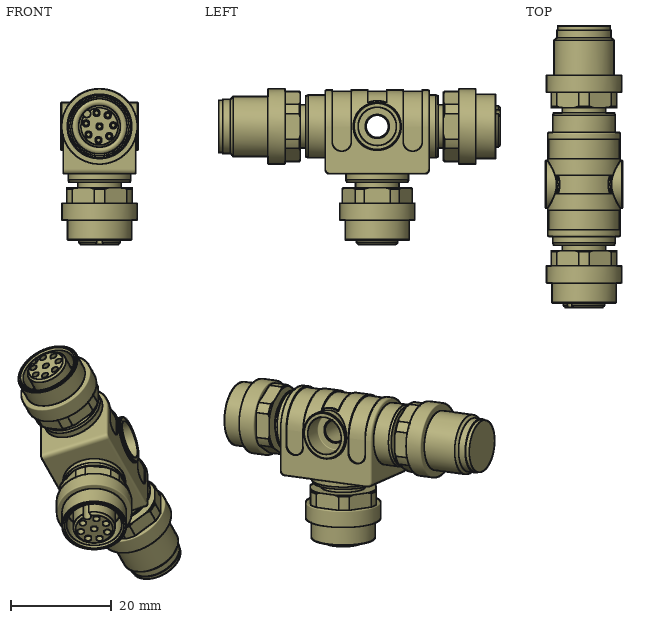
import cadquery as cq
import math


BODY_HALF_LENGTH = 10.35
BODY_WIDTH = 14.5
BODY_RADIUS = BODY_WIDTH / 2
BODY_DROP = 9.45
BODY_CORNER_RADIUS = 0.95
BODY_EDGE_RADIUS = 0.4

GROOVE_DEPTH = 0.25
SIDE_GROOVE_WIDTH = 3.8
SIDE_GROOVE_OFFSET = 7.05
SIDE_GROOVE_REACH = 4.9
CENTRE_GROOVE_WIDTH = 3.7
CENTRE_GROOVE_END_DIAMETER = 10.2
CUTTER_CLEARANCE = 0.55

BOSS_DIAMETER = 9.5
BOSS_LENGTH = 15.4
BOSS_HALF_LENGTH = BOSS_LENGTH / 2
BOSS_CHAMFER = 0.15
HOLE_DIAMETER = 4.4
COUNTERBORE_DIAMETER = 7.6
COUNTERBORE_DEPTH = 4.15
COUNTERBORE_FLOOR_RADIUS = 0.15
HOLE_CHAMFER = 0.15

COLLAR_DIAMETER = 12.5
COLLAR_BEVEL_WIDTH = 0.195
COLLAR_BEVEL_LENGTH = 0.5
NECK_DIAMETER = 8.7
NECK_LENGTH = 1.05
HEX_ACROSS_FLATS = 13.05
HEX_ROUND_DIAMETER = 14
HEX_CHAMFER = 0.25
HEX_LENGTH = 3.0
RING_DIAMETER = 15.0
RING_LENGTH = 3.4
RING_EDGE_RADIUS = 0.2
RING_END = NECK_LENGTH + HEX_LENGTH + RING_LENGTH

SLEEVE_DIAMETER = 12.8
SLEEVE_LENGTH = 4.0
SLEEVE_CHAMFER = 0.15
SLEEVE_BORE = 11.0
SLEEVE_MOUTH = 11.75
SLEEVE_BORE_DEPTH = 5.3
SEAL_MEAN_DIAMETER = 9.65
SEAL_RADIUS = 0.7
INSERT_DIAMETER = 8.3
INSERT_STICKOUT = 0.9
INSERT_CHAMFER = 0.45
KEYWAY_DIAMETER = 1.55
KEYWAY_CENTRE_RADIUS = 3.6
CONTACT_DIAMETER = 0.9
CONTACT_MOUTH = 1.35
CONTACT_MOUTH_DEPTH = 1.4
CONTACT_DEPTH = 2.25
CONTACT_CIRCLE_RADIUS = 2.75
CONTACT_COUNT = 7
CONTACT_SPACING = 49.2

SPIGOT_DIAMETER = 12.0
SPIGOT_LENGTH = 6.9
SPIGOT_TAPER_LENGTH = 0.55
SPIGOT_NOSE_DIAMETER = 10.8
SPIGOT_NOSE_LENGTH = 1.5
SPIGOT_TIP_DIAMETER = 10.5
SPIGOT_TIP_LENGTH = 0.85

MALE_REACH = 31.5
FEMALE_REACH = 24.5
BRANCH_REACH = 23.5
FEMALE_LENGTH = RING_END + SLEEVE_LENGTH + INSERT_STICKOUT
MALE_LENGTH = RING_END + SPIGOT_LENGTH + SPIGOT_TAPER_LENGTH + SPIGOT_NOSE_LENGTH + SPIGOT_TIP_LENGTH

MAIN_KEYWAY_ANGLE = 135
BRANCH_KEYWAY_ANGLE = 90


def disc(diameter, start, length):
    return cq.Workplane("XY").workplane(offset=start).circle(diameter / 2).extrude(length)


def frustum(start_diameter, end_diameter, start, length):
    cone = cq.Solid.makeCone(start_diameter / 2, end_diameter / 2, length, cq.Vector(0, 0, start))
    return cq.Workplane("XY").add(cone)


def body_prism(radius):
    """Arch-topped bar along Y whose half width equals the radius of its arch."""
    return (
        cq.Workplane("XZ", origin=(0, BODY_HALF_LENGTH, 0))
        .moveTo(-radius, -BODY_DROP)
        .lineTo(-radius, 0)
        .threePointArc((0, radius), (radius, 0))
        .lineTo(radius, -BODY_DROP)
        .close()
        .extrude(2 * BODY_HALF_LENGTH)
    )


def groove_cutter(outline):
    """Skin of the body, GROOVE_DEPTH thick, inside an outline that spans the body along X."""
    skin = body_prism(BODY_RADIUS + CUTTER_CLEARANCE).cut(
        body_prism(BODY_RADIUS - GROOVE_DEPTH)
    )
    return skin.intersect(outline)


def side_outline(y_centre, width, bottom):
    """Upright strip across the whole body, from a bottom height to above the arch."""
    across = 2 * (BODY_RADIUS + CUTTER_CLEARANCE)
    height = BODY_RADIUS + CUTTER_CLEARANCE - bottom
    return cq.Workplane("XY", origin=(0, y_centre, bottom)).rect(across, width).extrude(height)


def cross_cylinder(diameter, half_length, y=0, z=0):
    return (
        cq.Workplane("YZ", origin=(-half_length, y, z)).circle(diameter / 2).extrude(2 * half_length)
    )


def make_body():
    body = body_prism(BODY_RADIUS)
    body = body.edges("|X and <Z").fillet(BODY_CORNER_RADIUS)
    body = body.faces("<Y").edges("%CIRCLE").fillet(BODY_EDGE_RADIUS)

    end_radius = SIDE_GROOVE_WIDTH / 2
    end_height = end_radius - SIDE_GROOVE_REACH
    for y in (-SIDE_GROOVE_OFFSET, SIDE_GROOVE_OFFSET):
        strip = side_outline(y, SIDE_GROOVE_WIDTH, end_height)
        rounded_end = cross_cylinder(SIDE_GROOVE_WIDTH, 2 * BODY_RADIUS, y, end_height)
        body = body.cut(groove_cutter(strip.union(rounded_end)))

    centre_strip = side_outline(0, CENTRE_GROOVE_WIDTH, 0)
    centre_strip = centre_strip.cut(cross_cylinder(CENTRE_GROOVE_END_DIAMETER, 2 * BODY_RADIUS))
    return body.cut(groove_cutter(centre_strip))


def make_boss():
    return cross_cylinder(BOSS_DIAMETER, BOSS_HALF_LENGTH).faces("<X or >X").chamfer(BOSS_CHAMFER)


def boss_pocket():
    """Counterbore on the +X side, with a rounded floor corner and a bevel into the hole."""
    floor = BOSS_HALF_LENGTH - COUNTERBORE_DEPTH
    counterbore = cq.Workplane("YZ", origin=(floor, 0, 0)).circle(COUNTERBORE_DIAMETER / 2)
    counterbore = counterbore.extrude(COUNTERBORE_DEPTH)
    counterbore = counterbore.faces("<X").edges().fillet(COUNTERBORE_FLOOR_RADIUS)
    rim = cq.Solid.makeCone(
        HOLE_DIAMETER / 2 + HOLE_CHAMFER, HOLE_DIAMETER / 2, HOLE_CHAMFER,
        cq.Vector(floor, 0, 0), cq.Vector(-1, 0, 0),
    )
    return counterbore.union(cq.Workplane("XY").add(rim))


def drill_boss(part):
    part = part.cut(cross_cylinder(HOLE_DIAMETER, BOSS_HALF_LENGTH))
    pocket = boss_pocket()
    return part.cut(pocket).cut(pocket.mirror("YZ"))


def coupling(collar_length):
    """Collar, neck, hexagon and ring along +Z, with the collar end at the origin."""
    collar = disc(COLLAR_DIAMETER, -collar_length, collar_length)
    collar = collar.faces(">Z").chamfer(COLLAR_BEVEL_LENGTH, COLLAR_BEVEL_WIDTH)
    neck = disc(NECK_DIAMETER, 0, NECK_LENGTH)
    hex_limit = disc(HEX_ROUND_DIAMETER, NECK_LENGTH, HEX_LENGTH).faces("<Z").chamfer(HEX_CHAMFER)
    across_corners = HEX_ACROSS_FLATS / math.cos(math.pi / 6)
    hexagon = (
        cq.Workplane("XY", origin=(0, 0, NECK_LENGTH))
        .transformed(rotate=(0, 0, 30))
        .polygon(6, across_corners)
        .extrude(HEX_LENGTH)
        .intersect(hex_limit)
    )
    ring = disc(RING_DIAMETER, RING_END - RING_LENGTH, RING_LENGTH).edges().fillet(RING_EDGE_RADIUS)
    return collar.union(neck).union(hexagon).union(ring)


def contact_positions(keyway_angle):
    first = keyway_angle + (360 - (CONTACT_COUNT - 1) * CONTACT_SPACING) / 2
    positions = [(0, 0)]
    for i in range(CONTACT_COUNT):
        angle = math.radians(first + i * CONTACT_SPACING)
        positions.append((CONTACT_CIRCLE_RADIUS * math.cos(angle), CONTACT_CIRCLE_RADIUS * math.sin(angle)))
    return positions


def female_connector(collar_length, keyway_angle):
    sleeve_end = RING_END + SLEEVE_LENGTH
    floor = sleeve_end - SLEEVE_BORE_DEPTH

    sleeve = disc(SLEEVE_DIAMETER, RING_END, SLEEVE_LENGTH).faces(">Z").chamfer(SLEEVE_CHAMFER)
    bevel = (SLEEVE_MOUTH - SLEEVE_BORE) / 2
    bore = disc(SLEEVE_BORE, floor, SLEEVE_BORE_DEPTH)
    bore = bore.union(frustum(SLEEVE_BORE, SLEEVE_MOUTH, sleeve_end - bevel, bevel))
    part = coupling(collar_length).union(sleeve).cut(bore)

    seal = cq.Workplane("XY").add(
        cq.Solid.makeTorus(SEAL_MEAN_DIAMETER / 2, SEAL_RADIUS, cq.Vector(0, 0, floor))
    )

    insert_length = SLEEVE_BORE_DEPTH + INSERT_STICKOUT
    insert = disc(INSERT_DIAMETER, floor, insert_length).faces(">Z").chamfer(INSERT_CHAMFER)
    key = math.radians(keyway_angle)
    insert = insert.cut(
        disc(KEYWAY_DIAMETER, floor, insert_length).translate(
            (KEYWAY_CENTRE_RADIUS * math.cos(key), KEYWAY_CENTRE_RADIUS * math.sin(key), 0)
        )
    )
    insert = (
        insert.faces(">Z")
        .workplane(origin=(0, 0, FEMALE_LENGTH))
        .pushPoints(contact_positions(keyway_angle))
        .cboreHole(CONTACT_DIAMETER, CONTACT_MOUTH, CONTACT_MOUTH_DEPTH, CONTACT_DEPTH)
    )
    return part.union(seal).union(insert)


def male_connector(collar_length):
    part = coupling(collar_length).union(disc(SPIGOT_DIAMETER, RING_END, SPIGOT_LENGTH))
    start = RING_END + SPIGOT_LENGTH
    part = part.union(frustum(SPIGOT_DIAMETER, SPIGOT_NOSE_DIAMETER, start, SPIGOT_TAPER_LENGTH))
    start += SPIGOT_TAPER_LENGTH
    part = part.union(disc(SPIGOT_NOSE_DIAMETER, start, SPIGOT_NOSE_LENGTH))
    start += SPIGOT_NOSE_LENGTH
    return part.union(disc(SPIGOT_TIP_DIAMETER, start, SPIGOT_TIP_LENGTH))


def place_arm(arm, collar_end, turn_about_x):
    """Move a +Z arm out to its collar end, then swing it about the X axis."""
    return arm.translate((0, 0, collar_end)).rotate((0, 0, 0), (1, 0, 0), turn_about_x)


male_collar_end = MALE_REACH - MALE_LENGTH
female_collar_end = FEMALE_REACH - FEMALE_LENGTH
branch_collar_end = BRANCH_REACH - FEMALE_LENGTH

result = make_body().union(make_boss())
result = result.union(place_arm(male_connector(male_collar_end), male_collar_end, -90))
result = result.union(
    place_arm(female_connector(female_collar_end, MAIN_KEYWAY_ANGLE), female_collar_end, 90)
)
result = result.union(
    place_arm(female_connector(branch_collar_end, BRANCH_KEYWAY_ANGLE), branch_collar_end, 180)
)
result = drill_boss(result)